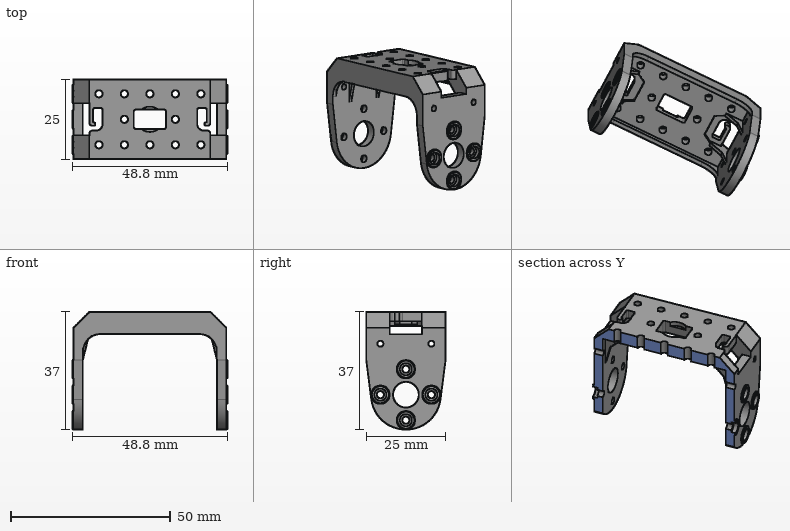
import cadquery as cq
import math


width = 25.0
leg_outer_x = 24.0
leg_thickness = 3.0
leg_inner_x = leg_outer_x - leg_thickness
top_z = 26.0
bridge_height = 7.0
bridge_bottom_z = top_z - bridge_height
shoulder_chamfer = 5.0
top_half_length = leg_outer_x - shoulder_chamfer
inner_corner_radius = 5.5

leg_end_radius = 11.0
taper_start_z = 11.0

rim_thickness = 1.4
deck_thickness = 4.5
deck_bottom_z = top_z - deck_thickness

gusset_thickness = 1.0
corner_arc_inset = inner_corner_radius * (1 - math.sqrt(0.5))
gusset_knee_x = leg_inner_x - corner_arc_inset
gusset_knee_z = bridge_bottom_z - corner_arc_inset
gusset_end_x = gusset_knee_x - (deck_bottom_z - gusset_knee_z)

pivot_hole_diameter = 8.0
screw_circle_radius = 8.0
screw_hole_diameter = 2.2
collar_count = 4
collar_diameter = 5.8
collar_height = 0.4
collar_edge_chamfer = 0.25
counterbore_diameter = 3.8
counterbore_depth = 1.5
side_hole_diameter = 1.8
side_hole_y = 8.0
side_hole_z = 16.0

hole_pitch = 8.0
hole_columns = range(-2, 3)
deck_hole_diameter = 2.2
opening_length = 10.0
opening_width = 6.0
opening_corner_radius = 0.5
horn_recess_diameter = 8.0
horn_recess_depth = 1.5

window_half_width = 5.0
hook_thickness = 3.0
hook_outer_x = top_half_length
hook_arm_width = 1.2
hook_inner_x = hook_outer_x - hook_arm_width
hook_bump_reach = 0.7
hook_bump_x = hook_inner_x - hook_bump_reach
hook_tip_y = -2.1
hook_bump_height = 1.2
hook_outer_radius = 1.0
slot_inner_x = 14.9
slot_half_width = 3.5
slot_end_radius = 0.5
slot_turn_radius = 2.0
mouth_radius = 1.0

clearance_straight_x = 15.0
clearance_end_x = 12.4

undercut_height = 0.9
undercut_middle_depth = 0.4
undercut_end_depth = 3.0
undercut_middle_half_width = 1.9


def box(x_range, y_range, z_range):
    """Box between the given limits."""
    size = [high - low for low, high in (x_range, y_range, z_range)]
    corner = (x_range[0], y_range[0], z_range[0])
    return cq.Workplane("XY").box(*size, centered=False).translate(corner)


def prism(outline, low_z, high_z):
    """Vertical prism over a polygon."""
    return cq.Workplane("XY").workplane(offset=low_z).polyline(outline).close().extrude(high_z - low_z)


def both_ends(feature):
    """A +X end feature together with its mirror image at the -X end."""
    return feature.union(feature.mirror("YZ"))


def cylinder_x(start_x, length, diameter, y, z):
    """Cylinder along +X."""
    return cq.Workplane("YZ").workplane(offset=start_x).center(y, z).circle(diameter / 2).extrude(length)


def make_frame():
    """U-shaped frame with chamfered shoulders and tapered, round-ended legs."""
    frame = (
        cq.Workplane("XZ")
        .moveTo(-leg_outer_x, -leg_end_radius)
        .lineTo(-leg_outer_x, top_z - shoulder_chamfer)
        .lineTo(-top_half_length, top_z)
        .lineTo(top_half_length, top_z)
        .lineTo(leg_outer_x, top_z - shoulder_chamfer)
        .lineTo(leg_outer_x, -leg_end_radius)
        .lineTo(leg_inner_x, -leg_end_radius)
        .lineTo(leg_inner_x, bridge_bottom_z - inner_corner_radius)
        .radiusArc((leg_inner_x - inner_corner_radius, bridge_bottom_z), -inner_corner_radius)
        .lineTo(inner_corner_radius - leg_inner_x, bridge_bottom_z)
        .radiusArc((-leg_inner_x, bridge_bottom_z - inner_corner_radius), -inner_corner_radius)
        .lineTo(-leg_inner_x, -leg_end_radius)
        .close()
        .extrude(width / 2, both=True)
    )
    recess_half_width = width / 2 - rim_thickness
    recess = box(
        (-leg_inner_x, leg_inner_x),
        (-recess_half_width, recess_half_width),
        (-leg_end_radius, deck_bottom_z),
    )
    return frame.cut(recess).intersect(make_leg_outline())


def make_leg_outline():
    """End profile of the bracket, extruded along its full length."""
    corner_distance = math.hypot(width / 2, taper_start_z)
    corner_angle = math.atan2(taper_start_z, width / 2)
    tangent_angle = corner_angle - math.acos(leg_end_radius / corner_distance)
    tangent_y = leg_end_radius * math.cos(tangent_angle)
    tangent_z = leg_end_radius * math.sin(tangent_angle)
    return (
        cq.Workplane("YZ")
        .moveTo(-width / 2, top_z)
        .lineTo(-width / 2, taper_start_z)
        .lineTo(-tangent_y, tangent_z)
        .threePointArc((0, -leg_end_radius), (tangent_y, tangent_z))
        .lineTo(width / 2, taper_start_z)
        .lineTo(width / 2, top_z)
        .close()
        .extrude(leg_outer_x, both=True)
    )


def add_gussets(body):
    """Thin webs in the inner corners, one along each side of both shoulder windows."""
    gusset = (
        cq.Workplane("XZ", origin=(0, -window_half_width, 0))
        .moveTo(leg_inner_x, taper_start_z)
        .lineTo(gusset_knee_x, gusset_knee_z)
        .lineTo(gusset_end_x, deck_bottom_z)
        .lineTo(leg_inner_x, deck_bottom_z)
        .close()
        .extrude(gusset_thickness)
    )
    return body.union(both_ends(gusset)).union(both_ends(gusset.mirror("XZ")))


def add_leg_details(body):
    """Pivot hole, side holes and the collared screw holes in both legs."""
    through_start = leg_inner_x
    through_length = leg_thickness
    cuts = cylinder_x(through_start, through_length, pivot_hole_diameter, 0, 0)
    for y in (-side_hole_y, side_hole_y):
        cuts = cuts.union(cylinder_x(through_start, through_length, side_hole_diameter, y, side_hole_z))
    collar_face_x = leg_outer_x + collar_height
    for position in range(collar_count):
        angle = position * 2 * math.pi / collar_count
        y = screw_circle_radius * math.cos(angle)
        z = screw_circle_radius * math.sin(angle)
        collar = cylinder_x(leg_outer_x, collar_height, collar_diameter, y, z)
        collar = collar.faces(">X").edges().chamfer(collar_edge_chamfer)
        body = body.union(both_ends(collar))
        cuts = cuts.union(cylinder_x(through_start, through_length, screw_hole_diameter, y, z))
        counterbore_start = collar_face_x - counterbore_depth
        cuts = cuts.union(cylinder_x(counterbore_start, counterbore_depth, counterbore_diameter, y, z))
    return body.cut(both_ends(cuts))


def cut_deck(body):
    """Screw hole grid, central rectangular opening and shallow round horn recess."""
    points = [(column * hole_pitch, side * hole_pitch) for column in hole_columns for side in (-1, 1)]
    points += [(-hole_pitch, 0), (hole_pitch, 0)]
    top = cq.Workplane("XY", origin=(0, 0, top_z))
    holes = top.pushPoints(points).circle(deck_hole_diameter / 2).extrude(-bridge_height)
    opening = top.rect(opening_length, opening_width).extrude(-bridge_height)
    opening = opening.edges("|Z").fillet(opening_corner_radius)
    horn_recess = top.circle(horn_recess_diameter / 2).extrude(-horn_recess_depth)
    return body.cut(holes).cut(opening).cut(horn_recess)


def make_hook_slot():
    """J-shaped slot that leaves a flexible hook at the +X end of the deck."""
    bump_radius = hook_bump_height / 2
    bump_top_y = hook_tip_y + hook_bump_height
    return (
        cq.Workplane("XY", origin=(0, 0, bridge_bottom_z))
        .moveTo(slot_inner_x, slot_half_width - slot_end_radius)
        .radiusArc((slot_inner_x + slot_end_radius, slot_half_width), slot_end_radius)
        .lineTo(hook_inner_x - slot_end_radius, slot_half_width)
        .radiusArc((hook_inner_x, slot_half_width - slot_end_radius), slot_end_radius)
        .lineTo(hook_inner_x, bump_top_y)
        .lineTo(hook_bump_x + bump_radius, bump_top_y)
        .threePointArc((hook_bump_x, bump_top_y - bump_radius), (hook_bump_x + bump_radius, hook_tip_y))
        .lineTo(hook_outer_x - hook_outer_radius, hook_tip_y)
        .radiusArc((hook_outer_x, hook_tip_y + hook_outer_radius), -hook_outer_radius)
        .lineTo(hook_outer_x, -slot_half_width - mouth_radius)
        .radiusArc((hook_outer_x - mouth_radius, -slot_half_width), -mouth_radius)
        .lineTo(slot_inner_x + slot_turn_radius, -slot_half_width)
        .radiusArc((slot_inner_x, -slot_half_width + slot_turn_radius), slot_turn_radius)
        .close()
        .extrude(bridge_height)
    )


def cut_shoulder_window(body):
    """Open shoulder window, hook slot and the clearance below the hook at both ends."""
    window = box(
        (hook_outer_x, leg_outer_x),
        (-window_half_width, window_half_width),
        (bridge_bottom_z, top_z),
    )
    hook_bottom_z = top_z - hook_thickness
    clearance = prism(
        [
            (hook_outer_x, window_half_width),
            (clearance_straight_x, window_half_width),
            (clearance_end_x, slot_half_width),
            (clearance_end_x, -slot_half_width),
            (clearance_straight_x, -window_half_width),
            (hook_outer_x, -window_half_width),
        ],
        deck_bottom_z,
        hook_bottom_z,
    )
    undercut = prism(
        [
            (clearance_end_x, slot_half_width),
            (clearance_end_x - undercut_end_depth, slot_half_width),
            (clearance_end_x - undercut_middle_depth, undercut_middle_half_width),
            (clearance_end_x - undercut_middle_depth, -undercut_middle_half_width),
            (clearance_end_x - undercut_end_depth, -slot_half_width),
            (clearance_end_x, -slot_half_width),
        ],
        hook_bottom_z - undercut_height,
        hook_bottom_z,
    )
    for cutter in (window, make_hook_slot(), clearance, undercut):
        body = body.cut(both_ends(cutter))
    return body


bracket = make_frame()
bracket = add_gussets(bracket)
bracket = add_leg_details(bracket)
bracket = cut_deck(bracket)
result = cut_shoulder_window(bracket)